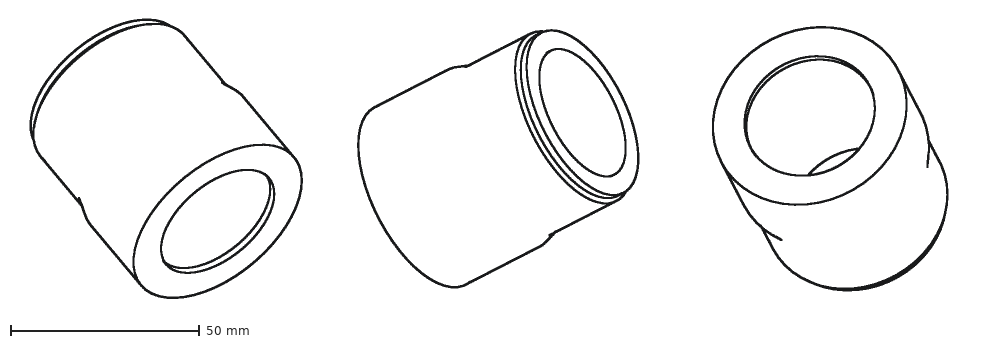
import cadquery as cq

length = 55.0

lip_diameter = 47.85
spigot_diameter = 50.0
socket_diameter = 53.0
lip_length = 2.0
lip_chamfer = (spigot_diameter - lip_diameter) / 2
cone_start = 25.0
cone_end = 30.0

entry_diameter = 37.0
main_bore_diameter = 40.0
end_opening_diameter = 35.65
bore_cone_start = 21.85
bore_cone_length = 5.0
end_lip_thickness = 2.0

bore_cone_end = bore_cone_start + bore_cone_length
end_lip_start = length - end_lip_thickness


def revolve_about_x(stations):
    """Solid of revolution about X through (x, diameter) stations."""
    rim = [(x, diameter / 2) for x, diameter in stations]
    first_x = stations[0][0]
    last_x = stations[-1][0]
    outline = [(first_x, 0), *rim, (last_x, 0)]
    return cq.Workplane("XY").polyline(outline).close().revolve(360, (0, 0, 0), (1, 0, 0))


body = revolve_about_x([
    (0, lip_diameter),
    (lip_length, lip_diameter),
    (lip_length + lip_chamfer, spigot_diameter),
    (cone_start, spigot_diameter),
    (cone_end, socket_diameter),
    (length, socket_diameter),
])

bore = revolve_about_x([
    (0, entry_diameter),
    (bore_cone_start, entry_diameter),
    (bore_cone_end, main_bore_diameter),
    (end_lip_start, main_bore_diameter),
    (end_lip_start, end_opening_diameter),
    (length, end_opening_diameter),
])

result = body.cut(bore)